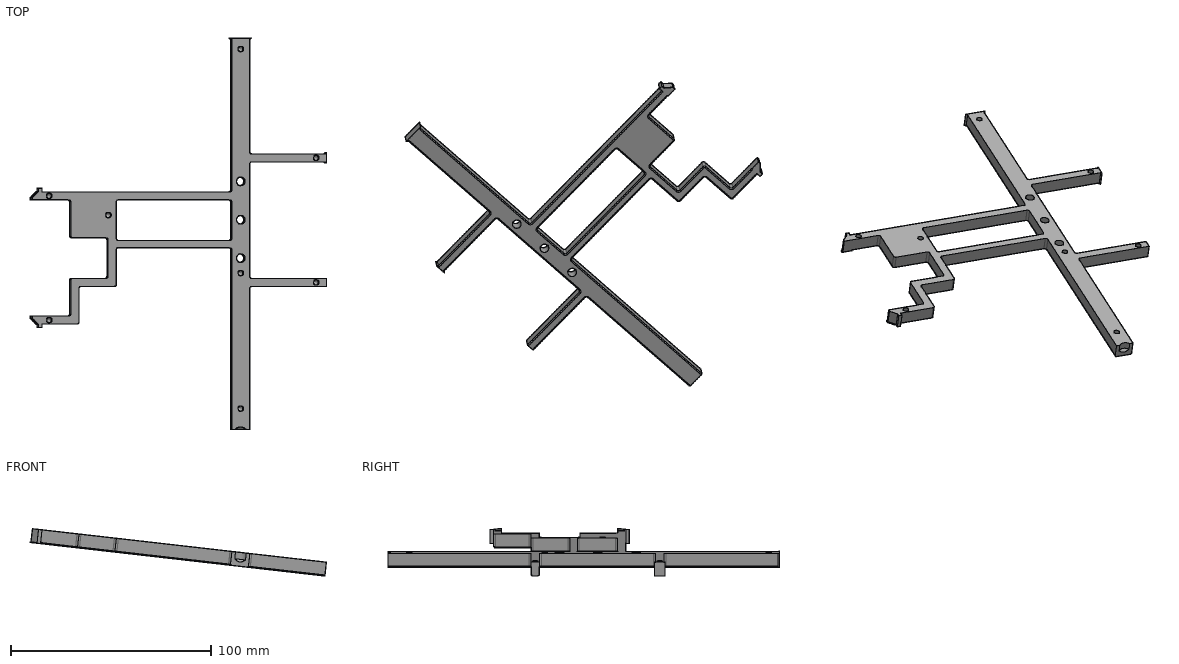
import cadquery as cq

TILT = 6.5
THICKNESS = 7.0
CORNER_RADIUS = 1.0
BOTTOM_CHAMFER = 0.5
FREE_END_MARGIN = 2

SPINE_WIDTH = 9.0
SPINE_LENGTH = 195.5

ARM_WIDTH = 4.1
ARM_END_X = 43.0
BACK_ARM_Y = 38.0
FRONT_ARM_Y = -24.2

UPPER_ARM_Y = 19.0
LOWER_ARM_Y = -5.0
LOWER_ARM_WIDTH = 3.7
FOOT_Y = -43
TIP_X = -104.8
PAD_LEFT_X = -85.5
PAD_RIGHT_X = -62.5
PAD_BOTTOM_Y = -2

TIP_BEVEL = 3.1
TIP_NOSE = 1.2
HOOK_WIDTH = 1.8
HOOK_HEIGHT = 1.8
TIP_LIP = 0.4

SPINE_FLARE = 0.8
ARM_FLARE = 0.5

THROUGH_HOLE_RADIUS = 2.1
THROUGH_HOLE_Y = 7.0
THROUGH_HOLE_PITCH = 19.2
BLIND_HOLE_RADIUS = 1.4
BLIND_HOLE_DEPTH = 4
SPINE_BLIND_HOLE_YS = (92.2, -19.5, -87.2)
ARM_HOLE_INSET = 5.0
TIP_HOLE_INSET = 8.6
PAD_HOLE = (-66.5, 9.4)

END_POCKET_RADIUS = 3.3
END_POCKET_OFFSET = 2.0
END_POCKET_DEPTH = 3.5


def bar(x_start, x_end, y_start, y_end):
    """Full-thickness rectangular bar below the top face."""
    return cq.Workplane("XY").box(
        x_end - x_start, y_end - y_start, THICKNESS, centered=False
    ).translate((x_start, y_start, -THICKNESS))


def bar_along_x(x_start, x_end, y_middle, width=ARM_WIDTH):
    return bar(x_start, x_end, y_middle - width / 2, y_middle + width / 2)


def flat_frame():
    """Spine, arms, pad and zigzag leg, with rounded corners and a chamfered bottom edge."""
    half_spine = SPINE_WIDTH / 2
    half_length = SPINE_LENGTH / 2
    neck_left_x = PAD_RIGHT_X - ARM_WIDTH
    leg_right_x = PAD_LEFT_X + ARM_WIDTH
    step_bottom_y = FRONT_ARM_Y - ARM_WIDTH / 2
    step_top_y = FRONT_ARM_Y + ARM_WIDTH / 2
    foot_bottom_y = FOOT_Y - ARM_WIDTH / 2
    tip_back_x = TIP_X + TIP_BEVEL

    frame = bar(-half_spine, half_spine, -half_length, half_length)
    frame = frame.union(bar_along_x(0, ARM_END_X, BACK_ARM_Y))
    frame = frame.union(bar_along_x(0, ARM_END_X, FRONT_ARM_Y))
    frame = frame.union(bar_along_x(tip_back_x, 0, UPPER_ARM_Y))
    frame = frame.union(bar_along_x(PAD_RIGHT_X - ARM_WIDTH / 2, 0, LOWER_ARM_Y, LOWER_ARM_WIDTH))
    frame = frame.union(bar(PAD_LEFT_X, PAD_RIGHT_X, PAD_BOTTOM_Y, UPPER_ARM_Y))
    frame = frame.union(bar(neck_left_x, PAD_RIGHT_X, step_bottom_y, UPPER_ARM_Y))
    frame = frame.union(bar(PAD_LEFT_X, PAD_RIGHT_X, step_bottom_y, step_top_y))
    frame = frame.union(bar(PAD_LEFT_X, leg_right_x, foot_bottom_y, step_top_y))
    frame = frame.union(bar_along_x(tip_back_x, leg_right_x, FOOT_Y))

    inner = cq.selectors.BoxSelector(
        (tip_back_x + FREE_END_MARGIN, FREE_END_MARGIN - half_length, -2 * THICKNESS),
        (ARM_END_X - FREE_END_MARGIN, half_length - FREE_END_MARGIN, THICKNESS),
    )
    frame = frame.edges("|Z").edges(inner).fillet(CORNER_RADIUS)
    return frame.faces("<Z").edges(inner).chamfer(BOTTOM_CHAMFER)


def flared_end(width, flare):
    """End of a bar pointing along +X, widening its sides at 45 degrees up to an end face at x = 0."""
    start_y = width / 2
    end_y = start_y + flare
    outline = [(-flare, -start_y), (0, -end_y), (0, end_y), (-flare, start_y)]
    return cq.Workplane("XY").polyline(outline).close().extrude(-THICKNESS)


def hooked_tip():
    """Bevelled tip of an arm along y = 0, with a hook on its +Y side and a lip at the foot of the bevel."""
    inner_y = -ARM_WIDTH / 2
    outer_y = ARM_WIDTH / 2
    hook_top_y = outer_y + HOOK_HEIGHT
    bevel_end_x = TIP_X + TIP_BEVEL
    bevel_end_y = inner_y + TIP_NOSE + TIP_BEVEL
    hook_end_x = bevel_end_x + HOOK_WIDTH

    outline = [
        (hook_end_x, inner_y),
        (TIP_X, inner_y),
        (TIP_X, inner_y + TIP_NOSE),
        (bevel_end_x, bevel_end_y),
        (bevel_end_x, hook_top_y),
        (hook_end_x, hook_top_y),
    ]
    tip = cq.Workplane("XY").polyline(outline).close().extrude(-THICKNESS)

    lip_outline = [
        (TIP_X, inner_y),
        (TIP_X - TIP_LIP, inner_y),
        (TIP_X - TIP_LIP, inner_y + TIP_NOSE),
        (bevel_end_x - TIP_LIP, bevel_end_y),
        (bevel_end_x, bevel_end_y),
        (bevel_end_x, inner_y),
    ]
    lip = cq.Workplane("XY", origin=(0, 0, -THICKNESS)).polyline(lip_outline).close().extrude(TIP_LIP)
    return tip.union(lip)


def drilled_hole(radius, depth):
    """Cutter for a blind hole in the top face at the origin: a cylinder with a 90 degree drill point."""
    profile = [(0, 0), (radius, 0), (radius, -depth), (0, -depth - radius)]
    return cq.Workplane("XZ").polyline(profile).close().revolve(360, (0, 0, 0), (0, 1, 0))


def holes():
    """Through holes and blind holes, all square to the top face."""
    through_points = [(0, THROUGH_HOLE_Y + i * THROUGH_HOLE_PITCH) for i in (-1, 0, 1)]
    cutters = cq.Workplane("XY").pushPoints(through_points).circle(THROUGH_HOLE_RADIUS)
    cutters = cutters.extrude(-THICKNESS)

    blind_points = [(0, y) for y in SPINE_BLIND_HOLE_YS]
    blind_points += [(ARM_END_X - ARM_HOLE_INSET, y) for y in (BACK_ARM_Y, FRONT_ARM_Y)]
    blind_points += [(TIP_X + TIP_HOLE_INSET, y) for y in (UPPER_ARM_Y, FOOT_Y)]
    blind_points.append(PAD_HOLE)
    for x, y in blind_points:
        cutters = cutters.union(drilled_hole(BLIND_HOLE_RADIUS, BLIND_HOLE_DEPTH).translate((x, y, 0)))
    return cutters


def end_pocket():
    """Drilled pocket centred just beyond the spine's -Y end, so that it is open at the end face."""
    pocket = drilled_hole(END_POCKET_RADIUS, END_POCKET_DEPTH)
    return pocket.translate((0, -SPINE_LENGTH / 2 - END_POCKET_OFFSET, 0))


frame = flat_frame()
frame = frame.union(flared_end(ARM_WIDTH, ARM_FLARE).translate((ARM_END_X, BACK_ARM_Y, 0)))
spine_flare = flared_end(SPINE_WIDTH, SPINE_FLARE).rotate((0, 0, 0), (0, 0, 1), 90)
frame = frame.union(spine_flare.translate((0, SPINE_LENGTH / 2, 0)))
frame = frame.union(hooked_tip().translate((0, UPPER_ARM_Y, 0)))
frame = frame.union(hooked_tip().mirror("XZ").translate((0, FOOT_Y, 0)))
frame = frame.cut(holes()).cut(end_pocket())

result = frame.rotate((0, 0, 0), (0, 1, 0), TILT)